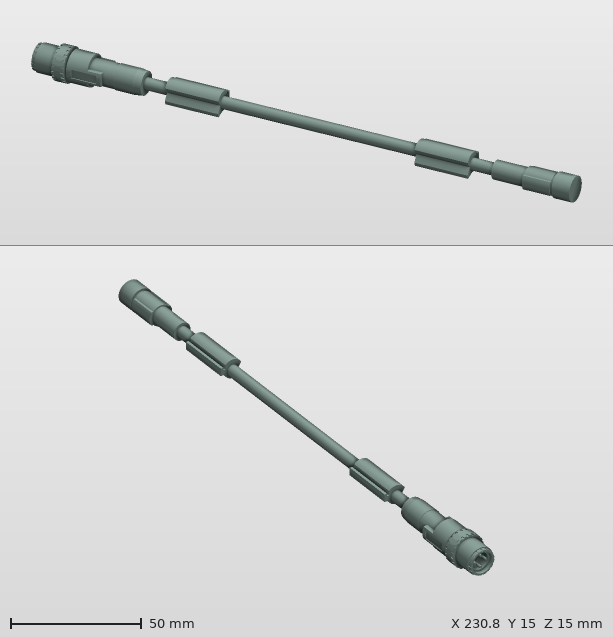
import cadquery as cq

total_length = 230.8
cable_radius = 2.5

nose_tip_length = 1.6
collar_start = 9.5
collar_end = 14.5
sleeve_start = 15.5
sleeve_end = 24.2
tongue_end = 30.2
grip_start = 34.9
plug_end = 46.6

nose_tip_radius = 5.5
nose_radius = 6.0
collar_radius = 7.5
neck_radius = 4.8
sleeve_radius = 6.7
barrel_radius = 5.0
grip_radius = 5.3
grip_chamfer_length = 3.2
grip_chamfer_depth = 0.5
tongue_height = 5.5
label_length = 10.8
label_height = 3.7
label_start = 17.5
label_depth = 0.7
knurl_count = 20
knurl_band = 1.2
knurl_size = 1.0
nose_notch_count = 16
nose_notch_size = 0.58

rim_bore_radius = 4.6
rim_bore_depth = 1.6
chamber_radius = 3.7
chamber_depth = 7.0
pin_radius = 0.5
pin_circle_radius = 2.5
pin_recess = 1.2
pin_count = 4

clip_length = 22.8
clip_starts = (56.8, 163.9)
clip_bore_wall_radius = 3.5
clip_hood_radius = 4.8
clip_hood_bottom = -0.7
clip_rim_reach = 5.3
clip_rim_top = 2.8
clip_groove_start = 3.2
clip_groove_width = 1.0
clip_groove_bottom = 1.6
clip_lip_corners = [(0, -3.2), (-4.0, -4.6), (-4.5, -3.0), (-2.5, -0.2)]
clip_mouth_corners = [(-2.5, -0.2), (-5.5, 4.5), (-5.3, -4.5)]

socket_start = 196.6
socket_body_start = 210.5
socket_groove_start = 222.3
socket_nut_start = 223.2
socket_tail_radius = 4.0
socket_body_radius = 4.6
socket_wing_reach = 5.3
socket_wing_height = 6.0
socket_groove_radius = 4.5
socket_nut_radius = 5.3


def cylinder(start, end, radius):
    """Solid cylinder on the X axis between two stations."""
    return cq.Workplane("YZ", origin=(start, 0, 0)).circle(radius).extrude(end - start)


def bar(start, end, width, height):
    """Rectangular bar centred on the X axis between two stations."""
    return cq.Workplane("YZ", origin=(start, 0, 0)).rect(width, height).extrude(end - start)


def rim_notches(start, end, radius, size, count):
    """Cutters for a ring of square notches across a rim of the given radius."""
    return (
        cq.Workplane("YZ", origin=(start, 0, 0))
        .polarArray(radius, 0, 360, count)
        .rect(size, size)
        .extrude(end - start)
    )


def make_nose():
    nose = cylinder(0, nose_tip_length, nose_tip_radius)
    nose = nose.union(cylinder(nose_tip_length, collar_start, nose_radius))
    nose = nose.cut(
        rim_notches(0, nose_tip_length, nose_tip_radius, nose_notch_size, nose_notch_count)
    )
    return nose


def make_collar():
    collar = cylinder(collar_start, collar_end, collar_radius)
    for band_start in (collar_start, collar_end - knurl_band):
        band_end = band_start + knurl_band
        collar = collar.cut(rim_notches(band_start, band_end, collar_radius, knurl_size, knurl_count))
    return collar


def make_sleeve():
    """Sleeve with a tongue on each side, each carrying a recessed label field."""
    sleeve = cylinder(sleeve_start, sleeve_end, sleeve_radius)
    tongues = cylinder(sleeve_end, tongue_end, sleeve_radius).intersect(
        bar(sleeve_end, tongue_end, 2 * sleeve_radius, tongue_height)
    )
    sleeve = sleeve.union(tongues)
    label_middle = label_start + label_length / 2
    for side in (-1, 1):
        field = cq.Workplane("XY").box(label_length, 2 * label_depth, label_height)
        sleeve = sleeve.cut(field.translate((label_middle, side * sleeve_radius, 0)))
    return sleeve


def make_grip():
    taper_start = plug_end - grip_chamfer_length
    return (
        cq.Workplane("XY")
        .moveTo(grip_start, 0)
        .lineTo(grip_start, grip_radius)
        .lineTo(taper_start, grip_radius)
        .lineTo(plug_end, grip_radius - grip_chamfer_depth)
        .lineTo(plug_end, 0)
        .close()
        .revolve(360, (0, 0, 0), (1, 0, 0))
    )


def make_plug():
    plug = make_nose().union(make_collar()).union(make_sleeve()).union(make_grip())
    plug = plug.union(cylinder(collar_end, sleeve_start, neck_radius))
    plug = plug.union(cylinder(sleeve_end, grip_start, barrel_radius))
    plug = plug.cut(cylinder(0, rim_bore_depth, rim_bore_radius))
    plug = plug.cut(cylinder(0, chamber_depth, chamber_radius))
    pins = (
        cq.Workplane("YZ", origin=(pin_recess, 0, 0))
        .polarArray(pin_circle_radius, 0, 360, pin_count)
        .circle(pin_radius)
        .extrude(chamber_depth)
    )
    return plug.union(pins)


def prism(start, end, corners):
    """Prism along X between two stations with the given (y, z) corners."""
    return cq.Workplane("YZ", origin=(start, 0, 0)).polyline(corners).close().extrude(end - start)


def rectangle(y_min, y_max, z_min, z_max):
    """Corners of a rectangle in the cross-section plane."""
    return [(y_min, z_min), (y_max, z_min), (y_max, z_max), (y_min, z_max)]


def make_clip(start):
    """Hooded clip around the cable: grooved rim on +Y, V mouth and lower lip on -Y."""
    end = start + clip_length
    hood_limits = rectangle(-clip_hood_radius, clip_hood_radius, clip_hood_bottom, clip_hood_radius)
    hood = cylinder(start, end, clip_hood_radius).intersect(prism(start, end, hood_limits))
    rim = prism(start, end, rectangle(0, clip_rim_reach, clip_hood_bottom, clip_rim_top))
    groove_end = clip_groove_start + clip_groove_width
    groove = prism(
        start, end, rectangle(clip_groove_start, groove_end, clip_groove_bottom, clip_hood_radius)
    )
    wall = cylinder(start, end, clip_bore_wall_radius)
    lip = prism(start, end, clip_lip_corners)
    mouth = prism(start, end, clip_mouth_corners)
    return hood.union(rim).union(wall).union(lip).cut(groove).cut(mouth)


def make_socket():
    socket = cylinder(socket_start, socket_body_start, socket_tail_radius)
    body = cylinder(socket_body_start, socket_groove_start, socket_body_radius)
    wings = cylinder(socket_body_start, socket_groove_start, socket_wing_reach).intersect(
        bar(socket_body_start, socket_groove_start, 2 * socket_wing_reach, socket_wing_height)
    )
    groove = cylinder(socket_groove_start, socket_nut_start, socket_groove_radius)
    nut = cylinder(socket_nut_start, total_length, socket_nut_radius)
    return socket.union(body).union(wings).union(groove).union(nut)


result = make_plug().union(make_socket())
result = result.union(cylinder(grip_start, socket_body_start, cable_radius))
for clip_start in clip_starts:
    result = result.union(make_clip(clip_start))